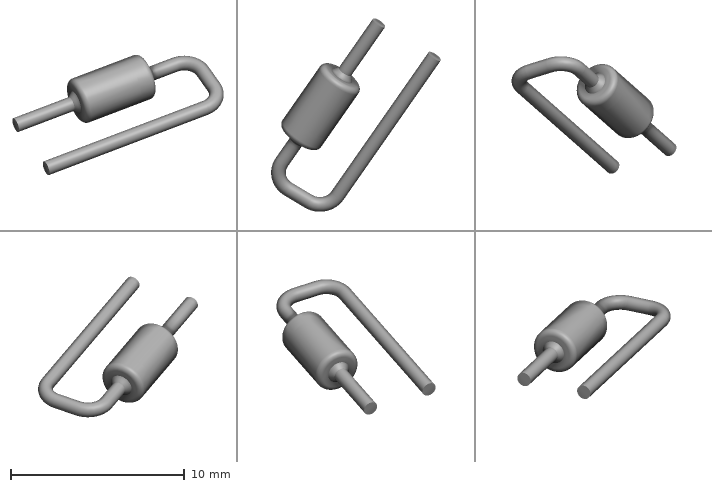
import cadquery as cq


overall_length = 11.95
lead_diameter = 0.85
lead_radius = lead_diameter / 2
lead_pitch = 3.82
bend_radius = 1.21

body_diameter = 2.71
body_radius = body_diameter / 2
body_length = 4.6
body_edge_radius = 0.32
body_start = 3.91
body_end = body_start + body_length

cone_height = 0.3
cone_base_radius = body_radius / 2
cone_start = body_start - cone_height
cone_end = body_end + cone_height

band_depth = 0.05
band_end_gap = 0.37
band_width = 0.67
band_end = body_end - band_end_gap
band_start = band_end - band_width
band_inner_radius = body_radius - band_depth


def make_band():
    """Thin ring whose outside is flush with the body."""
    return (
        cq.Workplane("XZ", origin=(0, band_start, 0))
        .circle(body_radius)
        .circle(band_inner_radius)
        .extrude(-band_width)
    )


def make_end_cone(base_y, tip_y):
    """Cone from the body end face down to the lead diameter."""
    return (
        cq.Workplane("XY")
        .moveTo(0, base_y)
        .lineTo(cone_base_radius, base_y)
        .lineTo(lead_radius, tip_y)
        .lineTo(0, tip_y)
        .close()
        .revolve(360, (0, 0, 0), (0, 1, 0))
    )


def make_body(band):
    """Rounded cylinder with a cone on each end and a groove for the band."""
    barrel = (
        cq.Workplane("XZ", origin=(0, body_start, 0))
        .circle(body_radius)
        .extrude(-body_length)
        .edges()
        .fillet(body_edge_radius)
    )
    start_cone = make_end_cone(body_start, cone_start)
    end_cone = make_end_cone(body_end, cone_end)
    return barrel.union(start_cone).union(end_cone).cut(band)


def make_straight_lead():
    """Plain round lead from its free end to the nearer cone."""
    return cq.Workplane("XZ").circle(lead_radius).extrude(-cone_start)


def make_bent_lead():
    """Round lead swept from the farther cone, around two bends, back to Y = 0."""
    crossbar_y = overall_length - lead_radius
    bend_start_y = crossbar_y - bend_radius
    path = (
        cq.Workplane("XY")
        .moveTo(0, cone_end)
        .lineTo(0, bend_start_y)
        .radiusArc((bend_radius, crossbar_y), bend_radius)
        .lineTo(lead_pitch - bend_radius, crossbar_y)
        .radiusArc((lead_pitch, bend_start_y), bend_radius)
        .lineTo(lead_pitch, 0)
    )
    return cq.Workplane("XZ", origin=(0, cone_end, 0)).circle(lead_radius).sweep(path)


band = make_band()
body = make_body(band)
straight_lead = make_straight_lead()
bent_lead = make_bent_lead()

result = cq.Compound.makeCompound(
    [body.solids().val(), band.val(), straight_lead.val(), bent_lead.val()]
)